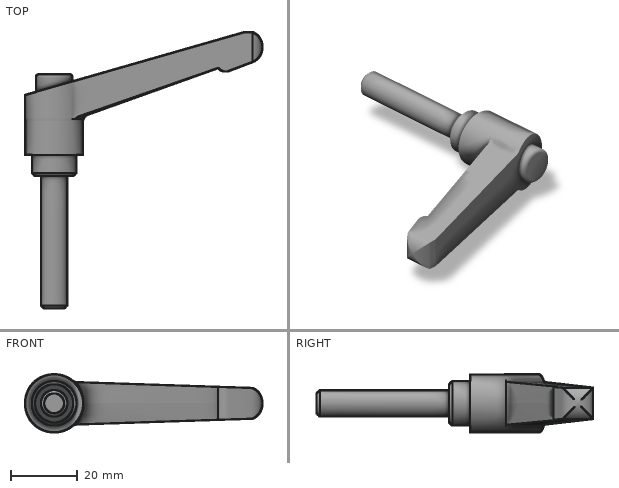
import cadquery as cq
import math


screw_radius = 4.0
screw_length = 40.1
collar_radius = 6.8
collar_height = 6.45
button_radius = 5.5
button_top = 71.0
edge_chamfer = 1.0
button_fillet = 1.0

sleeve_radius = 8.8
hub_diameter = 17.7
hub_radius = hub_diameter / 2
sleeve_height = 10.2
step_height = 0.7
sleeve_bottom = screw_length + collar_height
sleeve_top = sleeve_bottom + sleeve_height
hub_bottom = sleeve_top + step_height

overall_length = 71.9
overall_height = 83.7
top_slope = math.tan(math.radians(16))
top_flat_start = 57.6
grip_end = 60.0
tip_reach = overall_length - hub_radius
tip_height = 79.2
grip_bottom = 74.6
notch_start = (49.6, 72.8)
notch_middle = (51.05, 71.8)
notch_end = (52.5, 71.7)
root_x = 6.8
root_bottom = 57.9
root_half_width = 6.45
grip_half_width = 4.7
keel_depth = 0.5
keel_end_depth = 0.04
keel_overlap = 1.7
root_fillet = 2.0
trim_radius = 2 * hub_radius


def top_height(x):
    """Height of the sloping top face at a given X."""
    return overall_height - (top_flat_start - x) * top_slope


def underside_height(x):
    """Height of the side edges of the arm's underside at a given X."""
    slope = (notch_start[1] - root_bottom) / (notch_start[0] - root_x)
    return root_bottom + (x - root_x) * slope


def half_width(x):
    """Half the arm width at a given X; the arm narrows towards the grip."""
    slope = (grip_half_width - root_half_width) / (grip_end - root_x)
    return root_half_width + (x - root_x) * slope


def make_pin(radius, bottom, top):
    """Round pin along Y."""
    return cq.Workplane("XZ", origin=(0, bottom, 0)).circle(radius).extrude(bottom - top)


def make_hub():
    """Round hub cut off by the sloping top face."""
    profile = [
        (-hub_radius, sleeve_bottom),
        (hub_radius, sleeve_bottom),
        (hub_radius, top_height(hub_radius)),
        (-hub_radius, top_height(-hub_radius)),
    ]
    below_top = cq.Workplane("XY").polyline(profile).close().extrude(hub_radius, both=True)
    cylinder = make_pin(hub_radius, sleeve_bottom, overall_height).rotate((0, 0, 0), (0, 1, 0), 180)
    return cylinder.intersect(below_top)


def make_sleeve():
    """Sleeve below the hub, with a small conical step where they meet."""
    return (
        cq.Workplane("XY")
        .moveTo(0, sleeve_bottom)
        .lineTo(sleeve_radius, sleeve_bottom)
        .lineTo(sleeve_radius, sleeve_top)
        .lineTo(hub_radius, hub_bottom)
        .lineTo(0, hub_bottom)
        .close()
        .revolve(360, (0, 0), (0, 1))
    )


def make_keel(start_x):
    """Shallow V along the underside, fading out at the grip notch."""
    end_x = notch_start[0]

    def section(x, depth):
        edge = underside_height(x)
        half = half_width(x)
        corners = [
            (-half, edge + keel_overlap),
            (-half, edge),
            (0, edge - depth),
            (half, edge),
            (half, edge + keel_overlap),
        ]
        points = [cq.Vector(x, y, z) for z, y in corners]
        return cq.Wire.makePolygon(points, close=True)

    sections = [section(start_x, keel_depth), section(end_x, keel_end_depth)]
    return cq.Workplane(cq.Solid.makeLoft(sections, True))


def make_arm():
    """Tapered arm with a finger notch below and a rounded tip."""
    start_x = root_x / 2
    side = (
        cq.Workplane("XY")
        .moveTo(start_x, underside_height(start_x))
        .lineTo(*notch_start)
        .threePointArc(notch_middle, notch_end)
        .lineTo(grip_end, grip_bottom)
        .threePointArc((tip_reach, tip_height), (grip_end, overall_height))
        .lineTo(top_flat_start, overall_height)
        .lineTo(start_x, top_height(start_x))
        .close()
        .extrude(hub_radius, both=True)
    )
    plan = (
        cq.Workplane("XZ")
        .moveTo(start_x, -half_width(start_x))
        .lineTo(grip_end, -grip_half_width)
        .threePointArc((tip_reach, 0), (grip_end, grip_half_width))
        .lineTo(start_x, half_width(start_x))
        .close()
        .extrude(-overall_height)
    )
    return side.intersect(plan).union(make_keel(start_x))


def make_lever():
    """Hub and arm joined with fillets down both sides and under the root."""
    hub = make_hub()
    joined = hub.union(make_arm())
    root_zone = cq.selectors.BoxSelector(
        (screw_radius, hub_bottom, -hub_radius),
        (hub_radius + root_fillet, top_height(0), hub_radius),
    )
    filleted = joined.edges(root_zone).fillet(root_fillet)
    below_hub = cq.Workplane("XZ", origin=(0, hub_bottom, 0)).circle(trim_radius).extrude(hub_bottom)
    return filleted.cut(below_hub)


screw = make_pin(screw_radius, 0, sleeve_bottom).faces("<Y").chamfer(edge_chamfer)
collar = make_pin(collar_radius, screw_length, sleeve_top).faces("<Y").chamfer(edge_chamfer)
button = make_pin(button_radius, sleeve_bottom, button_top).faces(">Y").edges().fillet(button_fillet)

result = make_lever().union(make_sleeve()).union(collar).union(screw).union(button)